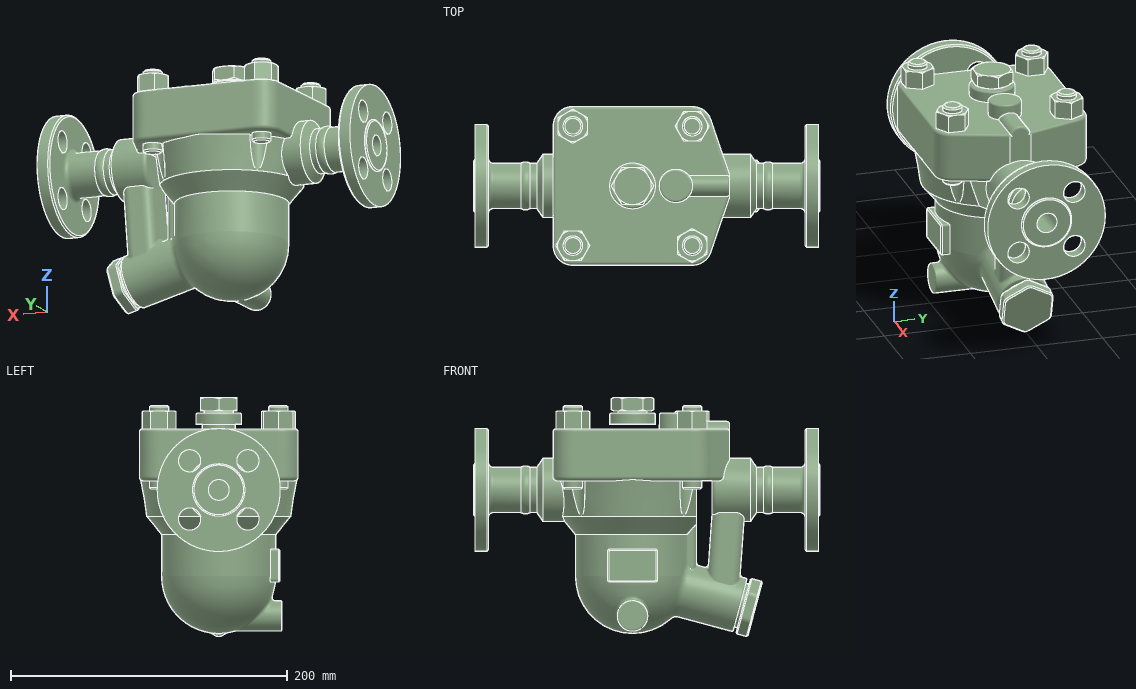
import cadquery as cq
import math


LENGTH = 251.0
MID_X = 10.3
SPLIT_Z = 26.9

RIM_HALF = 57.5
RIM_TOP = 44.2
RIM_BOTTOM = 6.5
RIM_NOSE_X = 70.3
RIM_NOSE_HALF = 8.0
RIM_SHOULDER_X = 53.5
RIM_CORNER_R = 14.3
RIM_TOP_FILLET = 2.3
RIM_BOTTOM_FILLET = 3.0

SKIRT_TOP_R = 57.0
SKIRT_BOTTOM_R = 52.2
SKIRT_BOTTOM_Z = -19.0
BOWL_R = 41.5
BOWL_TOP_Z = -32.5
BOWL_CENTER_Z = -62.5
BOWL_FLAT_X = 46.5

STUD_OFFSET = RIM_HALF - RIM_CORNER_R
STUD_D = 14.0
STUD_TOP = 61.2
STUD_BOTTOM = 0.5
STUD_CHAMFER = 1.3
STUD_CLEARANCE_R = 8.8
NUT_TOP = 57.2
NUT_ACROSS_CORNERS = 24.5
NUT_BEVEL_D = 22.0

RAISED_R = 38.0 / 2
RAISED_HEIGHT = 1.3
RAISED_CHAMFER = 1.0
FLANGE_R = 89.0 / 2
FLANGE_BACK = 11.0
FLANGE_EDGE = 1.3
PIPE_R = 33.0 / 2
NECK_FILLET = 3.5
BEAD_START = 34.5
BEAD_END = 41.2
BEAD_HEIGHT = 1.0
HUB_CONE_START = 46.0
HUB_CONE_END = 50.5
HUB_R = 46.0 / 2
INLET_HUB_X = -25.0
OUTLET_HUB_X = 57.5
OUTLET_HUB_ROUND = 3.3
BOLT_HOLE_D = 16.0
BOLT_OFFSET = 21.0
BORE_D = 15.0
BORE_DEPTH = HUB_CONE_END

BOSS_X = 31.5
BOSS_D = 24.0
BOSS_TOP = 55.7
BOSS_FILLET = 1.5
DUCT_R = RIM_NOSE_HALF
DUCT_TOP = 49.7

DRAIN_ANGLE = 15.0
DRAIN_D = 40.0
DRAIN_LENGTH = 80.5
DRAIN_END_FILLET = 1.3
DRAIN_ROOT_FILLET = 5.5
PLUG_NECK_D = 33.0
PLUG_NECK_LENGTH = 2.3
PLUG_ACROSS_CORNERS = 43.2
PLUG_CORNER_R = 5.3
PLUG_THICKNESS = 9.0
PLUG_EDGE = 1.0

RIB_HALF_WIDTH = 13.0
RIB_CORNER_R = 4.8
TUBE_WIDTH = 23.5
TUBE_DEPTH = 32.6
TUBE_CORNER_R = 7.0
TUBE_TOP = (69.8, -10.0)
TUBE_BOTTOM = (65.5, -70.3)
RIB_ROOT_FILLET = 2.3
TUBE_ROOT_FILLET = 2.3

SIDE_BOSS_D = 22.0
SIDE_BOSS_Z = -91.0
SIDE_BOSS_Y = -45.7
SIDE_BOSS_EDGE = 1.0
SIDE_BOSS_ROOT_FILLET = 2.3
PLATE_WIDTH = 36.1
PLATE_TOP = -42.7
PLATE_BOTTOM = -66.8
PLATE_Y = -44.2
PLATE_EDGE = 1.0
PLATE_CORNER_R = 2.0

CAP_BOTTOM = 47.5
CAP_COLLAR_D = 33.1
CAP_COLLAR_TOP = 55.7
CAP_COLLAR_FILLET = 1.5
CAP_NECK_D = 21.0
CAP_HEX_BOTTOM = 57.0
CAP_HEX_TOP = 67.0
CAP_ACROSS_CORNERS = 30.9
CAP_BEVEL_D = 27.0

SIDE_BOSS_ROOT = (
    (-SIDE_BOSS_D / 4, -BOWL_R, SIDE_BOSS_Z - SIDE_BOSS_D / 2),
    (SIDE_BOSS_D / 4, 0, SIDE_BOSS_Z + SIDE_BOSS_D / 2),
)
DRAIN_ROOT = (
    (DRAIN_D / 2, -DRAIN_D / 2, BOWL_CENTER_Z - BOWL_R),
    (BOWL_FLAT_X, DRAIN_D / 2, BOWL_CENTER_Z + DRAIN_D / 2),
)
RIB_ROOT_LOW = -59.0
RIB_ROOT_HIGH = -52.7
RIB_ROOT_START = 39.5
RIB_ROOT = (
    (RIB_ROOT_START, -RIB_HALF_WIDTH - RIB_ROOT_FILLET / 2, RIB_ROOT_LOW),
    (OUTLET_HUB_X, RIB_HALF_WIDTH + RIB_ROOT_FILLET / 2, RIB_ROOT_HIGH),
)
TUBE_ROOT = (
    (TUBE_BOTTOM[0] - TUBE_WIDTH, -TUBE_DEPTH / 2 - TUBE_ROOT_FILLET, TUBE_BOTTOM[1]),
    (TUBE_BOTTOM[0] + TUBE_WIDTH, TUBE_DEPTH / 2 + TUBE_ROOT_FILLET, RIB_ROOT_HIGH),
)

BEVEL_ANGLE = 30.0


def beveled_hex(across_corners, height, bevel_d, both_ends):
    """Hexagonal prism from Z = 0, corners on +-X, its corners beveled at 30 degrees."""
    corner_r = across_corners / 2
    bevel_r = bevel_d / 2
    drop = (corner_r - bevel_r) * math.tan(math.radians(BEVEL_ANGLE))
    top_profile = [(corner_r, height - drop), (bevel_r, height), (0, height)]
    bottom_profile = [(0, 0), (bevel_r, 0), (corner_r, drop)] if both_ends else [(0, 0), (corner_r, 0)]
    envelope = cq.Workplane("XZ").polyline(bottom_profile + top_profile).close().revolve(360, (0, 0), (0, 1))
    prism = cq.Workplane("XY").polygon(6, across_corners).extrude(height)
    return prism.intersect(envelope)


def round_edges(body, box, radius):
    """Round the edges whose centers lie in a box given by two opposite corners."""
    return body.edges(cq.selectors.BoxSelector(*box)).fillet(radius)


def make_rim():
    """Cover and bowl rim share one outline with a pointed +X side."""
    outline = [
        (-RIM_HALF, -RIM_HALF),
        (RIM_SHOULDER_X, -RIM_HALF),
        (RIM_NOSE_X, -RIM_NOSE_HALF),
        (RIM_NOSE_X, RIM_NOSE_HALF),
        (RIM_SHOULDER_X, RIM_HALF),
        (-RIM_HALF, RIM_HALF),
    ]

    def slab(bottom, top):
        block = cq.Workplane("XY").workplane(offset=bottom).polyline(outline).close().extrude(top - bottom)
        return block.edges("|Z and (not >X)").fillet(RIM_CORNER_R)

    cover = slab(SPLIT_Z, RIM_TOP).faces(">Z").edges().fillet(RIM_TOP_FILLET)
    rim = slab(RIM_BOTTOM, SPLIT_Z).faces("<Z").edges().fillet(RIM_BOTTOM_FILLET)
    return cover.union(rim, clean=False)


def make_bowl():
    """Skirt, barrel and round bottom, with clearance for the studs."""
    bowl = (
        cq.Workplane("XZ")
        .moveTo(0, SPLIT_Z)
        .lineTo(SKIRT_TOP_R, SPLIT_Z)
        .lineTo(SKIRT_TOP_R, RIM_BOTTOM + RIM_BOTTOM_FILLET)
        .lineTo(SKIRT_BOTTOM_R, SKIRT_BOTTOM_Z)
        .lineTo(BOWL_R, BOWL_TOP_Z)
        .lineTo(BOWL_R, BOWL_CENTER_Z)
        .radiusArc((0, BOWL_CENTER_Z - BOWL_R), BOWL_R)
        .close()
        .revolve(360, (0, 0), (0, 1))
        .rotate((0, 0, 0), (0, 0, 1), 90)
    )
    clearance = (
        cq.Workplane("XY")
        .workplane(offset=RIM_BOTTOM)
        .rect(2 * STUD_OFFSET, 2 * STUD_OFFSET, forConstruction=True)
        .vertices()
        .circle(STUD_CLEARANCE_R)
        .extrude(SKIRT_BOTTOM_Z - RIM_BOTTOM)
    )
    bowl = bowl.cut(clearance)
    gap = cq.Workplane("XY").workplane(offset=BOWL_TOP_Z)
    gap = gap.center((BOWL_FLAT_X + RIM_NOSE_X) / 2, 0).rect(RIM_NOSE_X - BOWL_FLAT_X, 2 * RIM_HALF)
    return bowl.cut(gap.extrude(RIM_BOTTOM - BOWL_TOP_Z))


def make_rib():
    rib = cq.Workplane("XY").workplane(offset=BOWL_CENTER_Z)
    rib = rib.center(BOWL_FLAT_X / 2, 0).rect(BOWL_FLAT_X, 2 * RIB_HALF_WIDTH)
    return rib.extrude(RIM_BOTTOM - BOWL_CENTER_Z).edges("|Z and >X").fillet(RIB_CORNER_R)


def make_drain():
    drain = cq.Workplane("YZ").circle(DRAIN_D / 2).extrude(DRAIN_LENGTH)
    drain = drain.faces(">X").edges().fillet(DRAIN_END_FILLET)
    return drain.rotate((0, 0, 0), (0, 1, 0), DRAIN_ANGLE).translate((0, 0, BOWL_CENTER_Z))


def make_plug():
    neck = cq.Workplane("YZ").workplane(offset=DRAIN_LENGTH).circle(PLUG_NECK_D / 2)
    neck = neck.extrude(PLUG_NECK_LENGTH)
    head = (
        cq.Workplane("YZ")
        .workplane(offset=DRAIN_LENGTH + PLUG_NECK_LENGTH)
        .transformed(rotate=(0, 0, 90))
        .polygon(6, PLUG_ACROSS_CORNERS)
        .extrude(PLUG_THICKNESS)
        .edges("|X")
        .fillet(PLUG_CORNER_R)
        .faces("<X or >X")
        .edges()
        .chamfer(PLUG_EDGE)
    )
    plug = neck.union(head)
    return plug.rotate((0, 0, 0), (0, 1, 0), DRAIN_ANGLE).translate((0, 0, BOWL_CENTER_Z))


def make_tube():
    run = cq.Vector(TUBE_BOTTOM[0] - TUBE_TOP[0], 0, TUBE_BOTTOM[1] - TUBE_TOP[1])
    plane = cq.Plane(origin=(TUBE_TOP[0], 0, TUBE_TOP[1]), xDir=(0, 1, 0), normal=run.toTuple())
    tube = cq.Workplane(plane).rect(TUBE_DEPTH, TUBE_WIDTH).extrude(run.Length)
    sides = cq.selectors.ParallelDirSelector(run)
    return tube.edges(sides).fillet(TUBE_CORNER_R)


def make_pipe(hub_end):
    """Flange, pipe, weld bead and hub, turned about X with the raised face at X = 0."""
    bead_mid = (BEAD_START + BEAD_END) / 2
    pipe = (
        cq.Workplane("XY")
        .lineTo(0, RAISED_R - RAISED_CHAMFER)
        .lineTo(RAISED_CHAMFER, RAISED_R)
        .lineTo(RAISED_HEIGHT, RAISED_R)
        .lineTo(RAISED_HEIGHT, FLANGE_R)
        .lineTo(FLANGE_BACK - FLANGE_EDGE, FLANGE_R)
        .lineTo(FLANGE_BACK, FLANGE_R - FLANGE_EDGE)
        .lineTo(FLANGE_BACK, PIPE_R + NECK_FILLET)
        .radiusArc((FLANGE_BACK + NECK_FILLET, PIPE_R), -NECK_FILLET)
        .lineTo(BEAD_START, PIPE_R)
        .threePointArc((bead_mid, PIPE_R + BEAD_HEIGHT), (BEAD_END, PIPE_R))
        .lineTo(HUB_CONE_START, PIPE_R)
        .lineTo(HUB_CONE_END, HUB_R)
        .lineTo(hub_end, HUB_R)
        .lineTo(hub_end, 0)
        .close()
        .revolve(360, (0, 0), (1, 0))
    )
    bolt_holes = (
        cq.Workplane("YZ")
        .rect(2 * BOLT_OFFSET, 2 * BOLT_OFFSET, forConstruction=True)
        .vertices()
        .circle(BOLT_HOLE_D / 2)
        .extrude(FLANGE_BACK)
    )
    return pipe.cut(bolt_holes)


def make_studs():
    studs = cq.Workplane("XY")
    for sx in (-1, 1):
        for sy in (-1, 1):
            stud = cq.Workplane("XY").workplane(offset=STUD_BOTTOM).circle(STUD_D / 2)
            stud = stud.extrude(STUD_TOP - STUD_BOTTOM).faces("<Z or >Z").edges().chamfer(STUD_CHAMFER)
            nut = beveled_hex(NUT_ACROSS_CORNERS, NUT_TOP - RIM_TOP, NUT_BEVEL_D, False)
            turn = 0 if sx == sy else 90
            nut = nut.rotate((0, 0, 0), (0, 0, 1), turn).translate((0, 0, RIM_TOP))
            studs = studs.union(stud.union(nut).translate((sx * STUD_OFFSET, sy * STUD_OFFSET, 0)))
    return studs


def make_cover_boss():
    boss = cq.Workplane("XY").workplane(offset=SPLIT_Z).center(BOSS_X, 0).circle(BOSS_D / 2)
    boss = boss.extrude(BOSS_TOP - SPLIT_Z).faces(">Z").edges().fillet(BOSS_FILLET)
    duct = (
        cq.Workplane("YZ")
        .workplane(offset=BOSS_X)
        .center(0, DUCT_TOP - DUCT_R)
        .circle(DUCT_R)
        .extrude(RIM_NOSE_X - BOSS_X)
        .faces(">X")
        .edges()
        .fillet(RIM_TOP_FILLET)
    )
    return boss.union(duct)


def make_side_boss():
    boss = cq.Workplane("XZ").center(0, SIDE_BOSS_Z).circle(SIDE_BOSS_D / 2).extrude(-SIDE_BOSS_Y)
    return boss.faces("<Y").edges().fillet(SIDE_BOSS_EDGE)


def make_plate():
    plate = cq.Workplane("XZ").center(0, (PLATE_TOP + PLATE_BOTTOM) / 2)
    plate = plate.rect(PLATE_WIDTH, PLATE_TOP - PLATE_BOTTOM).extrude(-PLATE_Y)
    plate = plate.edges("|Y").fillet(PLATE_CORNER_R)
    return plate.faces("<Y").edges().chamfer(PLATE_EDGE)


def make_housing():
    inlet_x = MID_X - LENGTH / 2
    outlet_x = MID_X + LENGTH / 2
    housing = make_bowl().union(make_side_boss())
    housing = round_edges(housing, SIDE_BOSS_ROOT, SIDE_BOSS_ROOT_FILLET)
    housing = housing.union(make_drain())
    housing = round_edges(housing, DRAIN_ROOT, DRAIN_ROOT_FILLET)
    housing = housing.union(make_rib())
    housing = round_edges(housing, RIB_ROOT, RIB_ROOT_FILLET)
    housing = housing.union(make_tube())
    housing = round_edges(housing, TUBE_ROOT, TUBE_ROOT_FILLET)
    housing = housing.union(make_plate()).union(make_plug())
    inlet = make_pipe(INLET_HUB_X - inlet_x).translate((inlet_x, 0, 0))
    outlet = make_pipe(outlet_x - OUTLET_HUB_X).faces(">X").edges().fillet(OUTLET_HUB_ROUND)
    outlet = outlet.mirror("YZ").translate((outlet_x, 0, 0))
    housing = housing.union(inlet).union(outlet)
    housing = housing.union(make_cover_boss()).union(make_studs())
    housing = housing.union(make_rim(), clean=False)
    for face_x, inward in ((inlet_x, 1), (outlet_x, -1)):
        bore = cq.Workplane("YZ").workplane(offset=face_x).circle(BORE_D / 2).extrude(inward * BORE_DEPTH)
        housing = housing.cut(bore, clean=False)
    return housing


def make_cap():
    collar = cq.Workplane("XY").workplane(offset=CAP_BOTTOM).circle(CAP_COLLAR_D / 2)
    collar = collar.extrude(CAP_COLLAR_TOP - CAP_BOTTOM).faces(">Z").edges().fillet(CAP_COLLAR_FILLET)
    neck = cq.Workplane("XY").workplane(offset=CAP_BOTTOM).circle(CAP_NECK_D / 2)
    neck = neck.extrude(CAP_HEX_BOTTOM - CAP_BOTTOM)
    head = beveled_hex(CAP_ACROSS_CORNERS, CAP_HEX_TOP - CAP_HEX_BOTTOM, CAP_BEVEL_D, True)
    return collar.union(neck).union(head.translate((0, 0, CAP_HEX_BOTTOM)))


housing = make_housing()
cap = make_cap()
result = cq.Compound.makeCompound([*housing.solids().vals(), cap.val()])